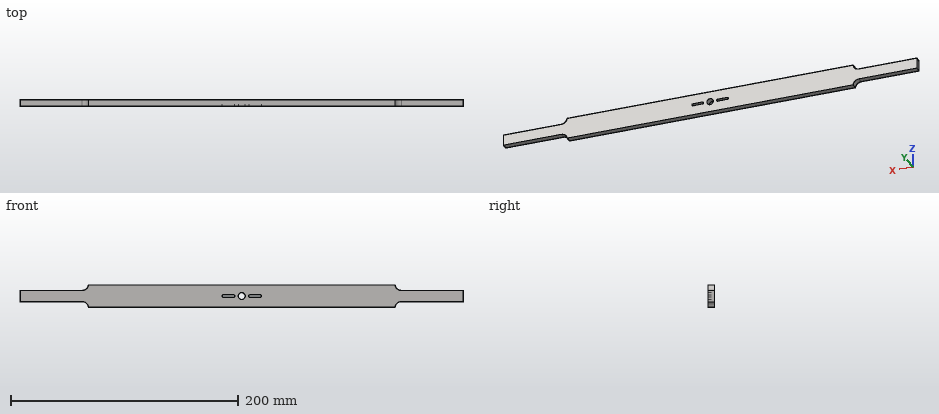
import cadquery as cq
import math

LENGTH = 390.0
THICKNESS = 6.0
BODY_HEIGHT = 20.0

TANG_HEIGHT = 10.0
BODY_LENGTH = 270.0
FLARE_RADIUS = 5.5

HOLE_DIAMETER = 6.0
SLOT_WIDTH = 2.0
SLOT_LENGTH = 11.0
SLOT_OFFSET = 11.7


def tang_relief(x_side, z_side):
    """Corner block to remove beside a tang, ending in a concave arc."""
    step = (BODY_HEIGHT - TANG_HEIGHT) / 2
    arc_center_z = TANG_HEIGHT / 2 + FLARE_RADIUS
    drop = FLARE_RADIUS - step
    arc_run = math.sqrt(FLARE_RADIUS**2 - drop**2)
    arc_start_x = BODY_LENGTH / 2 + arc_run
    mid_angle = (math.pi / 2 + math.asin(drop / FLARE_RADIUS)) / 2
    arc_mid_x = arc_start_x - FLARE_RADIUS * math.cos(mid_angle)
    arc_mid_z = arc_center_z - FLARE_RADIUS * math.sin(mid_angle)

    def corner(x, z):
        return (x_side * x, z_side * z)

    return (
        cq.Workplane("XZ")
        .moveTo(*corner(LENGTH / 2, TANG_HEIGHT / 2))
        .lineTo(*corner(arc_start_x, TANG_HEIGHT / 2))
        .threePointArc(
            corner(arc_mid_x, arc_mid_z),
            corner(BODY_LENGTH / 2, BODY_HEIGHT / 2),
        )
        .lineTo(*corner(LENGTH / 2, BODY_HEIGHT / 2))
        .close()
        .extrude(THICKNESS / 2, both=True)
    )


def center_openings():
    """Through hole and the pair of through slots beside it."""
    hole = cq.Workplane("XZ").circle(HOLE_DIAMETER / 2).extrude(THICKNESS / 2, both=True)
    slots = (
        cq.Workplane("XZ")
        .pushPoints([(-SLOT_OFFSET, 0), (SLOT_OFFSET, 0)])
        .slot2D(SLOT_LENGTH, SLOT_WIDTH)
        .extrude(THICKNESS / 2, both=True)
    )
    return hole.union(slots)


result = cq.Workplane("XY").box(LENGTH, THICKNESS, BODY_HEIGHT)
for x_side in (-1, 1):
    for z_side in (-1, 1):
        result = result.cut(tang_relief(x_side, z_side))
result = result.cut(center_openings())